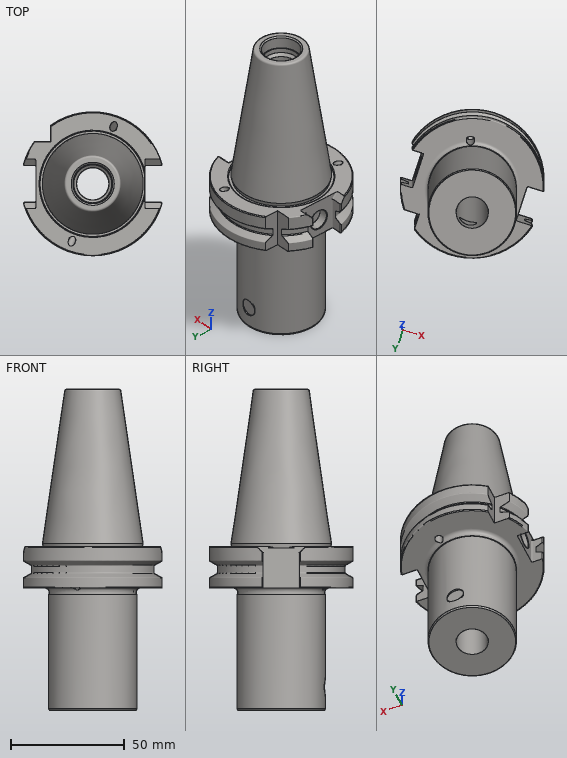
import cadquery as cq
import math

TOTAL_LENGTH = 141.2

TAPER_BASE_Z = 73.3
TAPER_BASE_RADIUS = 22.2
TAPER_SLOPE = 7 / 48
TAPER_END_FILLET = 1.0
RELIEF_RADIUS = 21.8

RING_OUTER_RADIUS = 23.6
RING_CHAMFER = 0.4
RING_DEPTH = 0.7

FLANGE_RADIUS = 31.6
FLANGE_TOP_Z = 72.2
FLANGE_BOTTOM_Z = 53.8
FLANGE_FILLET = 0.4
GROOVE_FLOOR_RADIUS = 28.1
GROOVE_CENTRE_Z = 62.0
GROOVE_FLOOR_WIDTH = 3.4
GROOVE_FLANK_ANGLE = 30.0
GROOVE_FILLET = 0.5

SLOT_WIDTH = 16.1
SLOT_FLOOR_NEG_X = 25.0
SLOT_FLOOR_POS_X = 22.9
SLOT_TOP_CHAMFER = 2.8
SLOT_CORNER_FILLET = 0.5
SLOT_MOUTH_CHAMFER = 0.5

NOTCH_OFFSET = 18.5

BODY_RADIUS = 19.5
BODY_TOP_Z = 51.0
NECK_RADIUS = 19.2
NECK_FILLET = 1.8
BODY_CHAMFER_HEIGHT = 0.8
BODY_CHAMFER_WIDTH = 0.4

BORE_RADIUS = 7.0
THREAD_RADIUS = 8.3
THREAD_END_DEPTH = 8.2
COUNTERBORE_RADIUS = 8.8
COUNTERBORE_DEPTH = 6.0
MOUTH_RADIUS = 9.5
MOUTH_DEPTH = 0.5

RECESS_RADIUS = 4.7
RECESS_DEPTH = 4.5
RECESS_CHAMFER = 0.3
CENTRE_HOLE_RADIUS = 0.64
CENTRE_HOLE_DEPTH = 1.1
CENTRE_HOLE_CHAMFER = 0.35

COOLANT_RADIUS = 1.5
COOLANT_CIRCLE_RADIUS = 26.8
COOLANT_ANGLES = (70.0, 250.0)
COOLANT_TILT = 45.0
OUTLET_RADIUS = 1.8
OUTLET_CIRCLE_RADIUS = 21.3

SCREW_RADIUS = 4.0
SCREW_Z = 10.3
SCREW_RECESS = 0.7

FAR = 2 * FLANGE_RADIUS

AXIS_START = (0, 0, 0)
AXIS_END = (0, 1, 0)


def v_groove():
    """Ring-shaped cutter for the V-groove, with rounded corners at its floor."""
    half_floor = GROOVE_FLOOR_WIDTH / 2
    groove_depth = FLANGE_RADIUS - GROOVE_FLOOR_RADIUS
    half_mouth = half_floor + groove_depth * math.tan(math.radians(GROOVE_FLANK_ANGLE))
    section = (
        cq.Sketch()
        .polygon([
            (GROOVE_FLOOR_RADIUS, GROOVE_CENTRE_Z - half_floor),
            (FLANGE_RADIUS, GROOVE_CENTRE_Z - half_mouth),
            (FLANGE_RADIUS, GROOVE_CENTRE_Z + half_mouth),
            (GROOVE_FLOOR_RADIUS, GROOVE_CENTRE_Z + half_floor),
            (GROOVE_FLOOR_RADIUS, GROOVE_CENTRE_Z - half_floor),
        ])
        .vertices("<X")
        .fillet(GROOVE_FILLET)
    )
    return cq.Workplane("XZ").placeSketch(section).revolve(360, AXIS_START, AXIS_END)


def turned_blank():
    """Taper, flange, neck and body as one revolved profile."""
    top_radius = TAPER_BASE_RADIUS - TAPER_SLOPE * (TOTAL_LENGTH - TAPER_BASE_Z)
    fillet_bulge = NECK_FILLET * (1 - math.sqrt(0.5))
    profile = (
        cq.Workplane("XZ")
        .moveTo(0, 0)
        .lineTo(BODY_RADIUS - BODY_CHAMFER_WIDTH, 0)
        .lineTo(BODY_RADIUS, BODY_CHAMFER_HEIGHT)
        .lineTo(BODY_RADIUS, BODY_TOP_Z)
        .lineTo(NECK_RADIUS, BODY_TOP_Z)
        .lineTo(NECK_RADIUS, FLANGE_BOTTOM_Z - NECK_FILLET)
        .threePointArc(
            (NECK_RADIUS + fillet_bulge, FLANGE_BOTTOM_Z - fillet_bulge),
            (NECK_RADIUS + NECK_FILLET, FLANGE_BOTTOM_Z),
        )
        .lineTo(FLANGE_RADIUS, FLANGE_BOTTOM_Z)
        .lineTo(FLANGE_RADIUS, FLANGE_TOP_Z)
        .lineTo(RING_OUTER_RADIUS, FLANGE_TOP_Z)
        .lineTo(RING_OUTER_RADIUS - RING_CHAMFER, FLANGE_TOP_Z - RING_CHAMFER)
        .lineTo(RING_OUTER_RADIUS - RING_CHAMFER, FLANGE_TOP_Z - RING_DEPTH)
        .lineTo(RELIEF_RADIUS, FLANGE_TOP_Z - RING_DEPTH)
        .lineTo(TAPER_BASE_RADIUS, TAPER_BASE_Z)
        .lineTo(top_radius, TOTAL_LENGTH)
        .lineTo(0, TOTAL_LENGTH)
        .close()
    )
    blank = profile.revolve(360, AXIS_START, AXIS_END)
    blank = blank.faces(">Z").edges().fillet(TAPER_END_FILLET)
    flange_rims = cq.selectors.RadiusNthSelector(-1)
    return blank.cut(v_groove()).edges(flange_rims).fillet(FLANGE_FILLET)


def axial_bore():
    """Through bore with a thread diameter, counterbore and chamfered mouth at the small end."""
    cone_height = THREAD_RADIUS - BORE_RADIUS
    profile = (
        cq.Workplane("XZ")
        .moveTo(0, 0)
        .lineTo(BORE_RADIUS, 0)
        .lineTo(BORE_RADIUS, TOTAL_LENGTH - THREAD_END_DEPTH - cone_height)
        .lineTo(THREAD_RADIUS, TOTAL_LENGTH - THREAD_END_DEPTH)
        .lineTo(THREAD_RADIUS, TOTAL_LENGTH - COUNTERBORE_DEPTH)
        .lineTo(COUNTERBORE_RADIUS, TOTAL_LENGTH - COUNTERBORE_DEPTH)
        .lineTo(COUNTERBORE_RADIUS, TOTAL_LENGTH - MOUTH_DEPTH)
        .lineTo(MOUTH_RADIUS, TOTAL_LENGTH)
        .lineTo(0, TOTAL_LENGTH)
        .close()
    )
    return profile.revolve(360, AXIS_START, AXIS_END)


def drive_slot(floor_x):
    """Cutter for a slot open towards +X, with flared top edges, rounded corners and chamfered mouth."""
    half_width = SLOT_WIDTH / 2
    flare_z = FLANGE_TOP_Z - SLOT_TOP_CHAMFER
    flare_half = half_width + SLOT_TOP_CHAMFER
    slot = (
        cq.Workplane("YZ", origin=(floor_x, 0, 0))
        .polyline([
            (-half_width, FLANGE_BOTTOM_Z),
            (half_width, FLANGE_BOTTOM_Z),
            (half_width, flare_z),
            (flare_half, FLANGE_TOP_Z),
            (-flare_half, FLANGE_TOP_Z),
            (-half_width, flare_z),
        ])
        .close()
        .extrude(FAR - floor_x)
        .faces("<X")
        .edges("not #Z")
        .fillet(SLOT_CORNER_FILLET)
    )
    corner_x = math.sqrt(FLANGE_RADIUS**2 - half_width**2)
    mouth = (
        cq.Workplane("XY", origin=(0, 0, FLANGE_BOTTOM_Z))
        .polyline([
            (corner_x - SLOT_MOUTH_CHAMFER, 0),
            (corner_x - SLOT_MOUTH_CHAMFER, half_width),
            (corner_x + SLOT_MOUTH_CHAMFER, half_width + 2 * SLOT_MOUTH_CHAMFER),
            (corner_x + SLOT_MOUTH_CHAMFER, 0),
        ])
        .close()
        .extrude(FLANGE_TOP_Z - FLANGE_BOTTOM_Z)
    )
    return slot.union(mouth).union(mouth.mirror("XZ"))


def corner_notch():
    """Cutter for the square notch through the flange."""
    height = FLANGE_TOP_Z - FLANGE_BOTTOM_Z
    return cq.Workplane("XY").box(FAR, FAR, height, centered=False).translate(
        (-NOTCH_OFFSET - FAR, NOTCH_OFFSET, FLANGE_BOTTOM_Z)
    )


def chamfered_hole(start_x, radius, depth, chamfer):
    """Cutter for a round hole with a chamfered mouth, running towards +X from start_x."""
    mouth = cq.Vector(start_x, 0, GROOVE_CENTRE_Z)
    axis = cq.Vector(1, 0, 0)
    hole = cq.Solid.makeCylinder(radius, depth, mouth, axis)
    rim = cq.Solid.makeCone(radius + chamfer, radius, chamfer, mouth, axis)
    return cq.Workplane(hole).union(cq.Workplane(rim))


def slot_recess():
    """Cutter for the round recess in the -X slot floor and the small hole at its centre."""
    recess = chamfered_hole(-SLOT_FLOOR_NEG_X, RECESS_RADIUS, RECESS_DEPTH, RECESS_CHAMFER)
    recess_floor_x = RECESS_DEPTH - SLOT_FLOOR_NEG_X
    centre_hole = chamfered_hole(
        recess_floor_x, CENTRE_HOLE_RADIUS, CENTRE_HOLE_DEPTH, CENTRE_HOLE_CHAMFER
    )
    return recess.union(centre_hole)


def coolant_channel(angle):
    """Cutter for an inlet slanting down and inwards to meet an upright outlet from the underside."""
    turn = math.radians(angle)
    tilt = math.radians(COOLANT_TILT)
    mouth = cq.Vector(
        COOLANT_CIRCLE_RADIUS * math.cos(turn), COOLANT_CIRCLE_RADIUS * math.sin(turn), FLANGE_TOP_Z
    )
    inward = cq.Vector(
        -math.sin(tilt) * math.cos(turn), -math.sin(tilt) * math.sin(turn), -math.cos(tilt)
    )
    depth = (COOLANT_CIRCLE_RADIUS - OUTLET_CIRCLE_RADIUS + OUTLET_RADIUS) / math.sin(tilt)
    junction_z = FLANGE_TOP_Z - (COOLANT_CIRCLE_RADIUS - OUTLET_CIRCLE_RADIUS) / math.tan(tilt)
    lead_in = 2 * COOLANT_RADIUS
    inlet = cq.Workplane(
        cq.Solid.makeCylinder(COOLANT_RADIUS, depth + lead_in, mouth - inward * lead_in, inward)
    )
    outlet_start_z = FLANGE_BOTTOM_Z - NECK_FILLET
    outlet = (
        cq.Workplane("XY", origin=(0, 0, outlet_start_z))
        .center(OUTLET_CIRCLE_RADIUS * math.cos(turn), OUTLET_CIRCLE_RADIUS * math.sin(turn))
        .circle(OUTLET_RADIUS)
        .extrude(junction_z - outlet_start_z)
    )
    return inlet.union(outlet)


def radial_cylinder(end_y):
    """Cylinder on the screw's axis, from the central axis out to end_y."""
    return cq.Workplane("XZ", origin=(0, 0, SCREW_Z)).circle(SCREW_RADIUS).extrude(-end_y)


def make_holder():
    """Tool holder: turned blank with its slots, holes and bore."""
    holder = turned_blank()
    holder = holder.cut(drive_slot(SLOT_FLOOR_POS_X))
    holder = holder.cut(drive_slot(SLOT_FLOOR_NEG_X).mirror("YZ"))
    holder = holder.cut(corner_notch())
    holder = holder.cut(slot_recess())
    for angle in COOLANT_ANGLES:
        holder = holder.cut(coolant_channel(angle))
    holder = holder.cut(radial_cylinder(BODY_RADIUS))
    return holder.cut(axial_bore())


def make_clamp_screw():
    """Clamping screw filling its radial hole from the bore to just below the body's surface."""
    return radial_cylinder(BODY_RADIUS - SCREW_RECESS).cut(axial_bore())


holder = make_holder()
clamp_screw = make_clamp_screw()

result = cq.Compound.makeCompound([holder.val(), clamp_screw.val()])